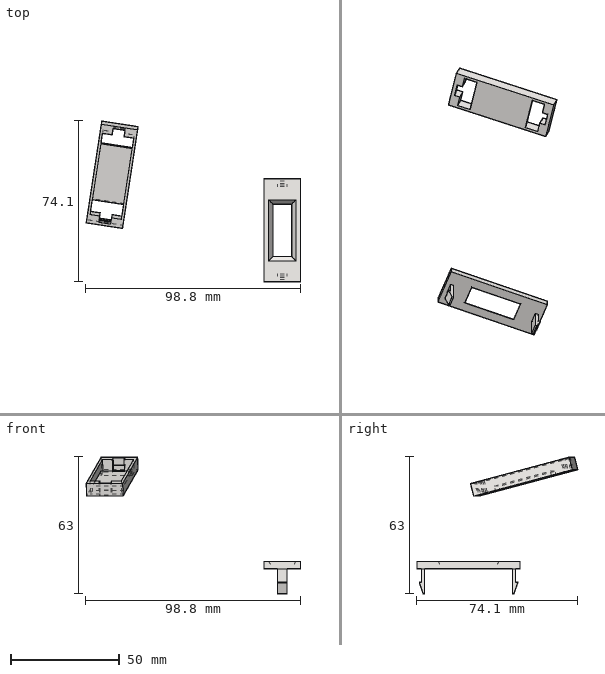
import cadquery as cq

body_length = 47.55
body_width = 17.0

cover_thickness = 3.5
window_length = 28.0
window_width = 12.5
window_taper = 2.0

leg_width = 4.5
leg_length = 11.5
leg_thickness = 1.5
leg_inset = 2.1
hook_drop = 6.1
hook_reach = 1.0
hook_lip = 0.4
tip_thickness = 0.75

frame_depth = 6.0
side_wall = 1.25
end_block = 4.25
notch_width = 5.5
notch_wall = 1.2
ledge_depth = 3.5
ledge_width = 0.5
floor_length = 27.0
floor_thickness = 2.0

frame_tilt = 14.8
frame_turn = -8.7
frame_centre = (-78.345, 25.600, 38.977)


def make_leg():
    """Snap leg at the -Y end, with its hook facing outwards."""
    outer = leg_inset - body_length / 2
    inner = outer + leg_thickness
    top = -cover_thickness
    hook_top = top - hook_drop
    bottom = top - leg_length
    profile = [
        (inner, top),
        (outer, top),
        (outer, hook_top),
        (outer - hook_reach, hook_top),
        (outer - hook_reach, hook_top - hook_lip),
        (inner - tip_thickness, bottom),
        (inner, bottom),
    ]
    return cq.Workplane("YZ").polyline(profile).close().extrude(leg_width / 2, both=True)


def make_cover():
    """Cover centred on the Z axis with its top face at Z = 0."""
    plate = cq.Workplane("XY").rect(body_width, body_length).extrude(-cover_thickness)
    window = (
        cq.Workplane("XY")
        .rect(window_width, window_length)
        .workplane(offset=-cover_thickness)
        .rect(window_width - 2 * window_taper, window_length - 2 * window_taper)
        .loft(ruled=True)
    )
    leg = make_leg()
    return plate.cut(window).union(leg).union(leg.mirror("XZ"))


def make_frame():
    """Frame centred on the origin, open side up, then tilted, turned and moved into place."""
    top = frame_depth / 2
    cavity_width = body_width - 2 * side_wall
    cavity_length = body_length - 2 * end_block
    upper_notch_length = body_length - 2 * notch_wall
    lower_notch_length = upper_notch_length - 2 * ledge_width

    def opening(width, length, depth):
        return cq.Workplane("XY").workplane(offset=top).rect(width, length).extrude(-depth)

    floor = (
        cq.Workplane("XY")
        .workplane(offset=-top)
        .rect(cavity_width, floor_length)
        .extrude(floor_thickness)
    )
    return (
        cq.Workplane("XY")
        .box(body_width, body_length, frame_depth)
        .cut(opening(cavity_width, cavity_length, frame_depth))
        .cut(opening(notch_width, upper_notch_length, ledge_depth))
        .cut(opening(notch_width, lower_notch_length, frame_depth))
        .union(floor)
        .rotate((0, 0, 0), (1, 0, 0), frame_tilt)
        .rotate((0, 0, 0), (0, 0, 1), frame_turn)
        .translate(frame_centre)
    )


cover = make_cover()
frame = make_frame()

result = cq.Compound.makeCompound([cover.val(), frame.val()])